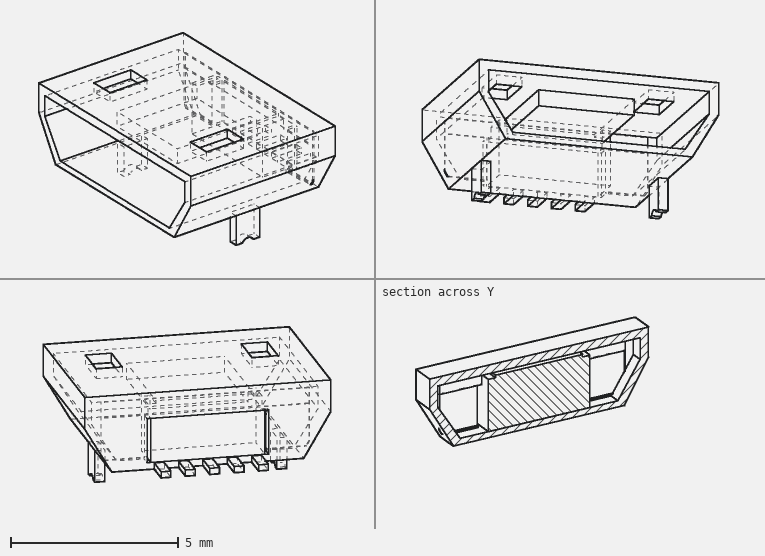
import cadquery as cq


shell_width = 7.55
shell_length = 5.4
shell_height = 2.4
floor_width = 5.89
straight_side_height = 1.0
side_wall = 0.3
top_wall = 0.3
floor_thickness = 0.22
cavity_floor_width = 5.42
rear_wall = 0.415
knee_z = shell_height - straight_side_height
cavity_top = shell_height - top_wall
cavity_width = shell_width - 2 * side_wall
cavity_length = shell_length - rear_wall

pocket_width = 6.39
pocket_depth = 0.05
pocket_bottom = 0.27
pocket_back = cavity_length + pocket_depth

opening_width = 3.73
opening_top = 1.6

window_width = 0.8
window_length = 1.38
window_setback = 1.32
window_x = 2.39

block_width = 3.5
block_length = 1.2
block_top = 1.93
block_front = shell_length - block_length
tongue_width = 3.005
tongue_thickness = 0.5
tongue_top = 2.015
tongue_setback = 1.2

leg_thickness = 0.3
leg_length = 0.88
leg_height = 1.0
leg_setback = 2.32
notch_width = 0.42
notch_height = 0.12

pin_count = 5
pin_pitch = 0.75
pin_width = 0.3
pin_height = 0.2
pin_length = 0.9


def centred_box(width, y_start, y_end, z_bottom, z_top):
    """Box centred on the middle plane X = 0."""
    return cq.Workplane("XY").box(
        width, y_end - y_start, z_top - z_bottom, centered=(True, False, False)
    ).translate((0, y_start, z_bottom))


def flared_prism(bottom_width, top_width, z_bottom, z_top, length):
    """Prism along +Y: slanted flanks up to the knee, vertical sides above it."""
    outline = [
        (-bottom_width / 2, z_bottom),
        (bottom_width / 2, z_bottom),
        (top_width / 2, knee_z),
        (top_width / 2, z_top),
        (-top_width / 2, z_top),
        (-top_width / 2, knee_z),
    ]
    return cq.Workplane("XZ").polyline(outline).close().extrude(-length)


def make_shell():
    body = flared_prism(floor_width, shell_width, 0, shell_height, shell_length)
    cavity = flared_prism(
        cavity_floor_width, cavity_width, floor_thickness, cavity_top, cavity_length
    )
    pocket = centred_box(pocket_width, cavity_length, pocket_back, pocket_bottom, cavity_top)
    opening = centred_box(opening_width, cavity_length, shell_length, floor_thickness, opening_top)
    window = centred_box(
        window_width, window_setback, window_setback + window_length, cavity_top, shell_height
    )
    body = body.cut(cavity).cut(pocket).cut(opening)
    for side in (-1, 1):
        body = body.cut(window.translate((side * window_x, 0, 0)))
    return body


def make_insulator():
    block = centred_box(block_width, block_front, pocket_back, floor_thickness, block_top)
    plug = centred_box(block_width, pocket_back, shell_length, floor_thickness, opening_top)
    flange = centred_box(pocket_width, cavity_length, pocket_back, opening_top, cavity_top)
    tongue = centred_box(
        tongue_width, tongue_setback, pocket_back, tongue_top - tongue_thickness, tongue_top
    )
    return block.union(plug).union(flange).union(tongue)


def make_leg(side):
    """Leg under one edge of the floor, with an arched notch in its lower end."""
    leg_middle = leg_setback + leg_length / 2
    outer_x = floor_width / 2
    start_x = outer_x - leg_thickness if side > 0 else -outer_x
    return (
        cq.Workplane("YZ", origin=(start_x, leg_middle, 0))
        .moveTo(-leg_length / 2, 0)
        .lineTo(-leg_length / 2, -leg_height)
        .lineTo(-notch_width / 2, -leg_height)
        .threePointArc((0, notch_height - leg_height), (notch_width / 2, -leg_height))
        .lineTo(leg_length / 2, -leg_height)
        .lineTo(leg_length / 2, 0)
        .close()
        .extrude(leg_thickness)
    )


def make_pin(index):
    """Solder tail standing on the rear face of the shell, level with its underside."""
    x = (index - (pin_count - 1) / 2) * pin_pitch
    tail = centred_box(pin_width, shell_length, shell_length + pin_length, 0, pin_height)
    return tail.translate((x, 0, 0))


shell = make_shell()
insulator = make_insulator()
legs = [make_leg(side) for side in (-1, 1)]
pins = [make_pin(index) for index in range(pin_count)]

result = cq.Compound.makeCompound(
    [shell.val(), insulator.val(), *[leg.val() for leg in legs], *[pin.val() for pin in pins]]
)